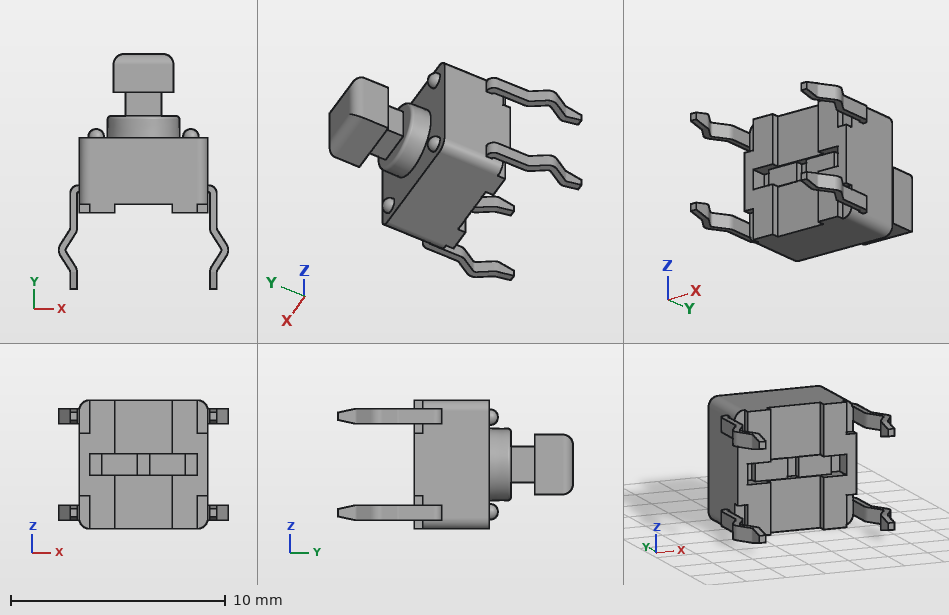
import cadquery as cq
import math


housing_width = 6.0
housing_depth = 3.5
corner_radius = 0.5
relief_depth = 0.39
relief_length = 1.54
channel_width = 2.67

slot_length = housing_width - 2 * corner_radius
slot_width = 1.0
slot_depth = 0.84
pad_length = 1.65
pad_height = 0.37
pad_offset = 1.11

rivet_radius = 0.37
rivet_height = 0.4
rivet_offset = 2.2

collar_base_radius = 1.7
collar_tip_radius = 1.68
collar_height = 1.01
collar_fillet = 0.15
stem_width = 1.7
cap_width = 2.8
cap_height = 1.8
cap_fillet = 0.5
cap_top = 7.4

lead_thickness = 0.33
lead_width = 0.7
lead_offset_z = 2.25
lead_shank_x = 3.25
lead_exit_y = 1.13
lead_span = 7.9
lead_reach = lead_span / 2
lead_peak_y = -1.73
lead_tip_y = -3.55
lead_tip_width = 0.35
lead_lean = math.radians(32.5)
lead_embed = 0.22
shoulder_radius = 0.07
kink_radius = 0.16


def block(width, height, y_low, y_high, x=0, z=0):
    """Box centred on (x, z), width along X, height along Z, from y_low to y_high."""
    box = cq.Workplane("XY").box(width, y_high - y_low, height)
    return box.translate((x, (y_low + y_high) / 2, z))


def corners(offset_x, offset_z):
    """The four (x, z) points at the given offsets from the button axis."""
    return [(sx * offset_x, sz * offset_z) for sx in (-1, 1) for sz in (-1, 1)]


def make_housing():
    body = block(housing_width, housing_width, 0, housing_depth).edges("|Y").fillet(corner_radius)
    relief_x = (housing_width - corner_radius) / 2
    relief_z = (housing_width - relief_length) / 2
    for x, z in corners(relief_x, relief_z):
        body = body.cut(block(corner_radius, relief_length, 0, relief_depth, x, z))
    body = body.cut(block(channel_width, housing_width, 0, relief_depth))
    body = body.cut(block(slot_length, slot_width, 0, slot_depth))
    for x in (-pad_offset, pad_offset):
        pad = block(pad_length, slot_width, slot_depth - pad_height, slot_depth, x)
        body = body.union(pad)
    return body


def make_rivets():
    rivets = cq.Workplane("XY")
    centre_y = housing_depth + rivet_height - rivet_radius
    for x, z in corners(rivet_offset, rivet_offset):
        rivets = rivets.union(cq.Workplane("XY").sphere(rivet_radius).translate((x, centre_y, z)))
    return rivets


def make_collar():
    profile = (
        cq.Workplane("XY")
        .moveTo(0, housing_depth)
        .lineTo(collar_base_radius, housing_depth)
        .lineTo(collar_tip_radius, housing_depth + collar_height)
        .lineTo(0, housing_depth + collar_height)
        .close()
    )
    collar = profile.revolve(360, (0, 0, 0), (0, 1, 0))
    return collar.faces(">Y").edges().fillet(collar_fillet)


def make_button():
    cap = block(cap_width, cap_width, cap_top - cap_height, cap_top)
    cap = cap.faces(">Y").edges().fillet(cap_fillet)
    return cap.union(block(stem_width, stem_width, housing_depth, cap_top - cap_height))


def lead_path():
    """Sharp-cornered centreline of a +X lead, from inside the housing to the tip."""
    bend_radius = kink_radius + lead_thickness / 2
    arc_centre_x = lead_reach - kink_radius - lead_thickness
    peak_x = arc_centre_x + bend_radius / math.cos(lead_lean)
    rise = (peak_x - lead_shank_x) / math.tan(lead_lean)
    return [
        cq.Vector(housing_width / 2 - lead_embed, lead_exit_y),
        cq.Vector(lead_shank_x, lead_exit_y),
        cq.Vector(lead_shank_x, lead_peak_y + rise),
        cq.Vector(peak_x, lead_peak_y),
        cq.Vector(lead_shank_x, lead_peak_y - rise),
        cq.Vector(lead_shank_x, lead_tip_y),
    ]


def make_lead():
    """One +X lead, centred on Z = 0."""
    path = lead_path()
    steps = [(end - start).normalized() for start, end in zip(path, path[1:])]
    normals = [cq.Vector(-step.y, step.x) for step in steps]
    before = [normals[0]] + normals
    after = normals + [normals[-1]]
    mitres = [(a + b) * (lead_thickness / 2 / (1 + a.dot(b))) for a, b in zip(before, after)]
    left = [point + mitre for point, mitre in zip(path, mitres)]
    right = [point - mitre for point, mitre in zip(path, mitres)]
    outline = [point.toTuple()[:2] for point in left + right[::-1]]
    lead = cq.Workplane("XY").polyline(outline).close().extrude(lead_width / 2, both=True)

    for i in range(1, len(path) - 1):
        turns_left = steps[i - 1].cross(steps[i]).z > 0
        inner, outer = (left[i], right[i]) if turns_left else (right[i], left[i])
        radius = shoulder_radius if i == 1 else kink_radius
        lead = lead.edges(cq.NearestToPointSelector(inner.toTuple())).fillet(radius)
        lead = lead.edges(cq.NearestToPointSelector(outer.toTuple())).fillet(radius + lead_thickness)

    last_tangent = (kink_radius + lead_thickness / 2) * math.tan(lead_lean / 2)
    taper_y = path[-2].y - last_tangent
    for side in (-1, 1):
        wedge = (
            cq.Workplane("YZ")
            .polyline([
                (taper_y, side * lead_width / 2),
                (lead_tip_y, side * lead_width / 2),
                (lead_tip_y, side * lead_tip_width / 2),
            ])
            .close()
            .extrude(lead_reach)
        )
        lead = lead.cut(wedge)
    return lead


result = make_housing()
result = result.union(make_rivets()).union(make_collar()).union(make_button())
right_lead = make_lead()
for lead in (right_lead, right_lead.mirror("YZ")):
    for z in (-lead_offset_z, lead_offset_z):
        result = result.union(lead.translate((0, 0, z)))